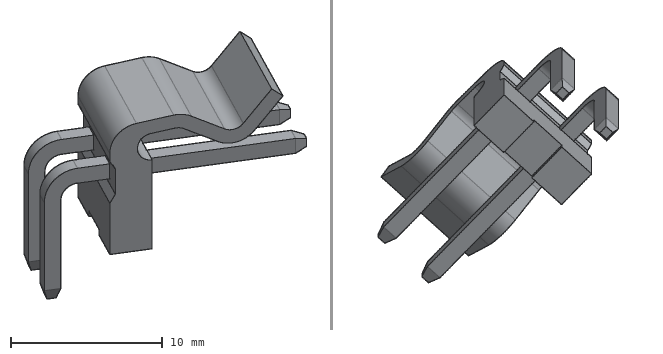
import cadquery as cq
import math


width = 7.92
block_depth = 2.9
groove_depth = 0.38
groove_floor_half_height = 0.95
groove_mouth_half_height = 1.58
notch_width = 2.54
notch_height = 0.43

arm_thickness = 1.0
inner_radius = arm_thickness
outer_radius = 2 * arm_thickness
root_bend_height = 7.68
roof_slope = math.radians(5.5)
fall_slope = math.radians(30)
lip_slope = math.radians(50)
roof_length = 2.55
fall_length = 2.63
lip_length = 3.02

pin_pitch = 3.95
pin_size = 1.13
pin_height = 5.49
pin_front = -4.08
pin_length = 17.99
pin_bottom = -3.72
pin_inner_radius = pin_size
pin_outer_radius = pin_inner_radius + pin_size
tip_length = 0.83
tip_size = 0.61


def move(point, distance, slope):
    """Point reached by travelling toward +Y, rising at the given slope."""
    return (point[0] + distance * math.cos(slope), point[1] + distance * math.sin(slope))


def above(point, distance, slope):
    """Point at a distance along the upward normal of a line with the given slope."""
    return (point[0] - distance * math.sin(slope), point[1] + distance * math.cos(slope))


def make_housing():
    """Block and spring arm as one extruded side outline, with pin holes and a bottom notch."""
    root_center = (outer_radius, root_bend_height)
    roof_start = above(root_center, outer_radius, roof_slope)
    crest_start = move(roof_start, roof_length, roof_slope)
    crest_center = above(crest_start, -outer_radius, roof_slope)
    crest_end = above(crest_center, outer_radius, -fall_slope)
    valley_start = move(crest_end, fall_length, -fall_slope)
    valley_center = above(valley_start, inner_radius, -fall_slope)
    valley_end = above(valley_center, -inner_radius, lip_slope)
    lip_top = move(valley_end, lip_length, lip_slope)
    lip_bottom = above(lip_top, -arm_thickness, lip_slope)

    underside = above(roof_start, -arm_thickness, roof_slope)
    throat_height = (
        underside[1]
        + (block_depth - underside[0]) * math.tan(roof_slope)
        - inner_radius / math.cos(roof_slope)
    )
    throat_center = (block_depth, throat_height)
    throat_middle = (block_depth - inner_radius, throat_height)

    outline = (
        cq.Workplane("YZ")
        .moveTo(0, 0)
        .lineTo(0, pin_height - groove_mouth_half_height)
        .lineTo(groove_depth, pin_height - groove_floor_half_height)
        .lineTo(groove_depth, pin_height + groove_floor_half_height)
        .lineTo(0, pin_height + groove_mouth_half_height)
        .lineTo(0, root_bend_height)
        .threePointArc(above(root_center, outer_radius, math.radians(45)), roof_start)
        .lineTo(*crest_start)
        .threePointArc(above(crest_center, outer_radius, 0), crest_end)
        .lineTo(*valley_start)
        .threePointArc(above(valley_center, -inner_radius, 0), valley_end)
        .lineTo(*lip_top)
        .lineTo(*lip_bottom)
        .lineTo(*above(valley_center, -outer_radius, lip_slope))
        .threePointArc(
            above(valley_center, -outer_radius, 0),
            above(valley_center, -outer_radius, -fall_slope),
        )
        .lineTo(*above(crest_center, inner_radius, -fall_slope))
        .threePointArc(
            above(crest_center, inner_radius, 0),
            above(crest_center, inner_radius, roof_slope),
        )
        .lineTo(*above(throat_center, inner_radius, roof_slope))
        .threePointArc(throat_middle, (block_depth, throat_height - inner_radius))
        .lineTo(block_depth, 0)
        .close()
    )
    housing = outline.extrude(width / 2, both=True)

    notch = cq.Workplane("XY").box(
        notch_width, block_depth, notch_height, centered=(True, False, False)
    )
    housing = housing.cut(notch)

    pin_hole = (
        cq.Workplane("XY")
        .box(pin_size, block_depth, pin_size, centered=(True, False, True))
        .translate((0, 0, pin_height))
    )
    for x in pin_positions():
        housing = housing.cut(pin_hole.translate((x, 0, 0)))
    return housing


def pin_positions():
    """X positions of the pin centres."""
    return [-pin_pitch / 2, pin_pitch / 2]


def make_tip(plane):
    """Square taper from the pin section to the smaller end, along the plane normal."""
    return (
        cq.Workplane(plane)
        .rect(pin_size, pin_size)
        .workplane(offset=tip_length)
        .rect(tip_size, tip_size)
        .loft(combine=True)
    )


def make_pin(x):
    """Square wire bent through a right angle, tapered at both ends."""
    leg_y = pin_front + pin_size / 2
    top = pin_height + pin_size / 2
    leg_end = pin_bottom + tip_length
    tail_end = pin_front + pin_length - tip_length
    bend_y = pin_front + pin_outer_radius
    bend_z = top - pin_outer_radius
    bend_center = (bend_y, bend_z)
    bend_middle = math.radians(45)

    wire = (
        cq.Workplane("YZ")
        .moveTo(pin_front, leg_end)
        .lineTo(pin_front, bend_z)
        .threePointArc(above(bend_center, pin_outer_radius, bend_middle), (bend_y, top))
        .lineTo(tail_end, top)
        .lineTo(tail_end, top - pin_size)
        .lineTo(bend_y, top - pin_size)
        .threePointArc(
            above(bend_center, pin_inner_radius, bend_middle),
            (pin_front + pin_size, bend_z),
        )
        .lineTo(pin_front + pin_size, leg_end)
        .close()
        .extrude(pin_size / 2, both=True)
    )
    down = cq.Plane(origin=(0, leg_y, leg_end), xDir=(1, 0, 0), normal=(0, 0, -1))
    back = cq.Plane(origin=(0, tail_end, pin_height), xDir=(1, 0, 0), normal=(0, 1, 0))
    return wire.union(make_tip(down)).union(make_tip(back)).translate((x, 0, 0))


housing = make_housing()
pins = [make_pin(x) for x in pin_positions()]

result = cq.Compound.makeCompound([housing.val(), *[pin.val() for pin in pins]])